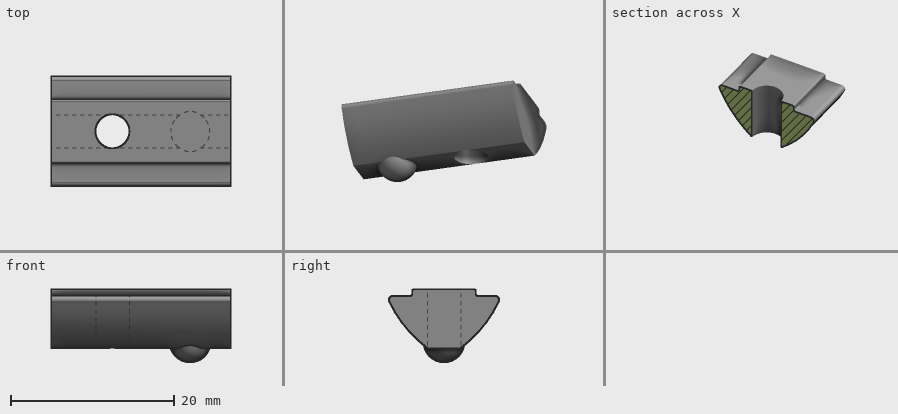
import cadquery as cq
import math

length = 22.0
width = 13.5
total_height = 8.95

body_height = 7.2
rib_width = 7.8
rib_height = 0.8
rib_edge_radius = 0.2
rib_root_radius = 0.2

shoulder_radius = 0.5
flank_start_angle = 25.0
base_width = 4.05

hole_diameter = 4.134
hole_offset = 7.5
ball_diameter = 5.0
ball_offset = 17.0

half_length = length / 2
half_width = width / 2
half_rib = rib_width / 2
half_base = base_width / 2
shoulder_z = body_height - rib_height
ball_radius = ball_diameter / 2
ball_z = body_height - total_height + ball_radius


def shoulder_point(angle):
    """Point on the shoulder round, at an angle in degrees above the +Y direction."""
    center_y = half_width - shoulder_radius
    center_z = shoulder_z - shoulder_radius
    turn = math.radians(angle)
    return (
        center_y + shoulder_radius * math.cos(turn),
        center_z + shoulder_radius * math.sin(turn),
    )


def make_body():
    """Extruded T-slot profile: top rib, rounded shoulders and bulging flanks."""
    half_profile = (
        cq.Workplane("YZ")
        .workplane(offset=-half_length)
        .moveTo(0, body_height)
        .lineTo(half_rib - rib_edge_radius, body_height)
        .tangentArcPoint((half_rib, body_height - rib_edge_radius), relative=False)
        .lineTo(half_rib, shoulder_z + rib_root_radius)
        .tangentArcPoint((half_rib + rib_root_radius, shoulder_z), relative=False)
        .lineTo(*shoulder_point(90))
        .threePointArc(shoulder_point(0), shoulder_point(-flank_start_angle))
        .tangentArcPoint((half_base, 0), relative=False)
        .lineTo(0, 0)
        .close()
    )
    half_body = half_profile.extrude(length)
    return half_body.union(half_body.mirror("XZ")).clean()


def make_hole():
    """Cylinder for the vertical through hole."""
    return (
        cq.Workplane("XY")
        .center(hole_offset - half_length, 0)
        .circle(hole_diameter / 2)
        .extrude(body_height)
    )


def make_ball():
    """Detent ball embedded in the underside."""
    return cq.Workplane("XY").sphere(ball_radius).translate((ball_offset - half_length, 0, ball_z))


result = make_body().cut(make_hole()).union(make_ball())